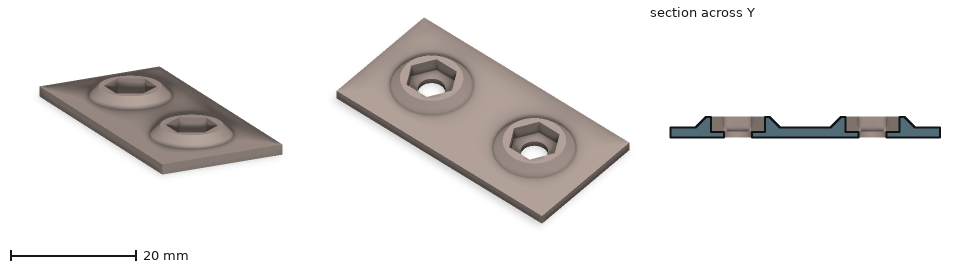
import cadquery as cq
import math

plate_length = 43.0
plate_width = 21.5
total_height = 3.4
plate_thickness = 1.7

boss_spacing = plate_length / 2
boss_base_diameter = 13.45
boss_height = total_height - plate_thickness
boss_top_diameter = boss_base_diameter - 2 * boss_height

nut_across_flats = 7.4
nut_across_corners = nut_across_flats / math.cos(math.pi / 6)
nut_pocket_depth = 2.4
screw_hole_diameter = 4.4


def boss(x):
    """Truncated cone standing on the plate."""
    return (
        cq.Workplane("XY", origin=(x, 0, plate_thickness))
        .circle(boss_base_diameter / 2)
        .workplane(offset=boss_height)
        .circle(boss_top_diameter / 2)
        .loft(ruled=True)
    )


def nut_pocket(x):
    """Hexagonal pocket, corners along X, sunk from the top of the boss."""
    return (
        cq.Workplane("XY", origin=(x, 0, total_height))
        .polygon(6, nut_across_corners)
        .extrude(-nut_pocket_depth)
    )


def screw_hole(x):
    """Round hole through the full height."""
    return (
        cq.Workplane("XY", origin=(x, 0, 0))
        .circle(screw_hole_diameter / 2)
        .extrude(total_height)
    )


result = cq.Workplane("XY").box(
    plate_length, plate_width, plate_thickness, centered=(True, True, False)
)
for boss_x in (-boss_spacing / 2, boss_spacing / 2):
    result = result.union(boss(boss_x))
    result = result.cut(nut_pocket(boss_x))
    result = result.cut(screw_hole(boss_x))